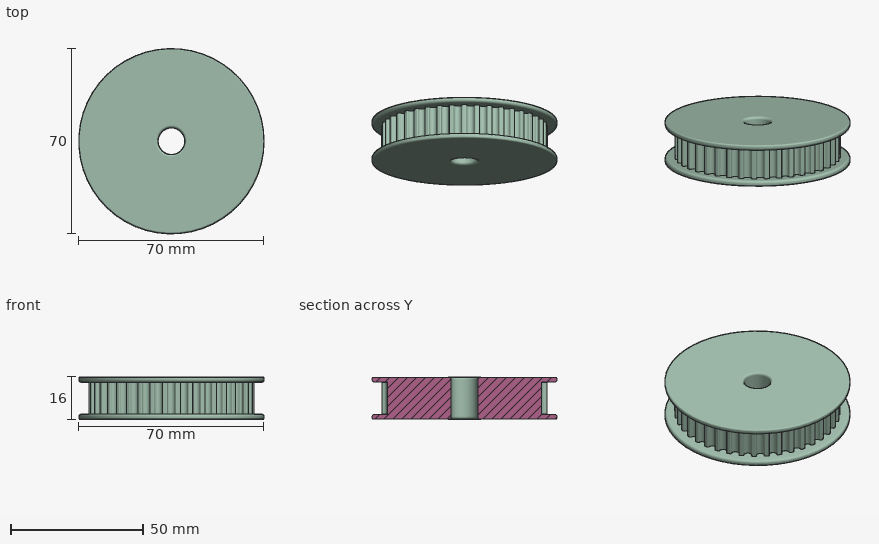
import cadquery as cq
import math

flange_diameter = 70.0
pulley_height = 16.0
flange_thickness = 2.0
flange_outer_fillet = 0.6
flange_inner_fillet = 1.0

bore_diameter = 10.0
bore_mouth_fillet = 1.0

tooth_count = 40
belt_pitch = 5.0
pitch_line_offset = 0.5715
groove_depth = 2.06
groove_radius = 1.48
groove_arc_half_angle = math.radians(70)
tooth_tip_radius = 0.43
tooth_tip_offset = 1.92

drum_radius = tooth_count * belt_pitch / (2 * math.pi) - pitch_line_offset
drum_height = pulley_height - 2 * flange_thickness
groove_angle = 360.0 / tooth_count


def make_flange(base_z):
    """Plain disc whose underside rests at base_z."""
    return cq.Workplane("XY").workplane(offset=base_z).circle(flange_diameter / 2).extrude(flange_thickness)


def make_bottom_flange():
    flange = make_flange(0)
    flange = flange.faces("<Z").edges().fillet(flange_outer_fillet)
    return flange.faces(">Z").edges().fillet(flange_inner_fillet)


def make_top_flange():
    flange = make_flange(pulley_height - flange_thickness)
    flange = flange.faces(">Z").edges().fillet(flange_outer_fillet)
    return flange.faces("<Z").edges().fillet(flange_inner_fillet)


def make_groove_cutter():
    """Groove on the +X side: round bottom, slightly flared walls and rounded tooth tips."""
    bottom_x = drum_radius - groove_depth
    arc_end_x = bottom_x + groove_radius * (1 - math.cos(groove_arc_half_angle))
    arc_end_y = groove_radius * math.sin(groove_arc_half_angle)

    tip_center_x = math.sqrt((drum_radius - tooth_tip_radius) ** 2 - tooth_tip_offset**2)
    tip_center_angle = math.atan2(tooth_tip_offset, tip_center_x)
    tip_end_x = drum_radius * math.cos(tip_center_angle)
    tip_end_y = drum_radius * math.sin(tip_center_angle)

    reach_x = tip_center_x - arc_end_x
    reach_y = tooth_tip_offset - arc_end_y
    reach = math.hypot(reach_x, reach_y)
    wall_tilt = math.atan2(reach_y, reach_x) - math.asin(tooth_tip_radius / reach)
    wall_length = math.sqrt(reach**2 - tooth_tip_radius**2)
    wall_top_x = arc_end_x + wall_length * math.cos(wall_tilt)
    wall_top_y = arc_end_y + wall_length * math.sin(wall_tilt)

    tip_middle_angle = (tip_center_angle + wall_tilt - math.pi / 2) / 2
    tip_middle_x = tip_center_x + tooth_tip_radius * math.cos(tip_middle_angle)
    tip_middle_y = tooth_tip_offset + tooth_tip_radius * math.sin(tip_middle_angle)
    outside_x = drum_radius + groove_radius

    return (
        cq.Workplane("XY")
        .workplane(offset=flange_thickness)
        .moveTo(outside_x, -tip_end_y)
        .lineTo(tip_end_x, -tip_end_y)
        .threePointArc((tip_middle_x, -tip_middle_y), (wall_top_x, -wall_top_y))
        .lineTo(arc_end_x, -arc_end_y)
        .threePointArc((bottom_x, 0), (arc_end_x, arc_end_y))
        .lineTo(wall_top_x, wall_top_y)
        .threePointArc((tip_middle_x, tip_middle_y), (tip_end_x, tip_end_y))
        .lineTo(outside_x, tip_end_y)
        .close()
        .extrude(drum_height)
    )


def make_toothed_drum():
    drum = cq.Workplane("XY").workplane(offset=flange_thickness).circle(drum_radius).extrude(drum_height)
    cutter = make_groove_cutter().val()
    axis_start = cq.Vector(0, 0, 0)
    axis_end = cq.Vector(0, 0, 1)
    cutters = [cutter.rotate(axis_start, axis_end, i * groove_angle) for i in range(tooth_count)]
    return drum.cut(cq.Workplane("XY").newObject([cq.Compound.makeCompound(cutters)]))


def cut_bore(body):
    """Through bore with rounded mouths at both ends."""
    bored = body.cut(cq.Workplane("XY").circle(bore_diameter / 2).extrude(pulley_height))
    bore_rims = cq.selectors.RadiusNthSelector(0)
    bored = bored.faces(">Z").edges(bore_rims).fillet(bore_mouth_fillet)
    return bored.faces("<Z").edges(bore_rims).fillet(bore_mouth_fillet)


pulley = make_toothed_drum().union(make_bottom_flange()).union(make_top_flange())
result = cut_bore(pulley)